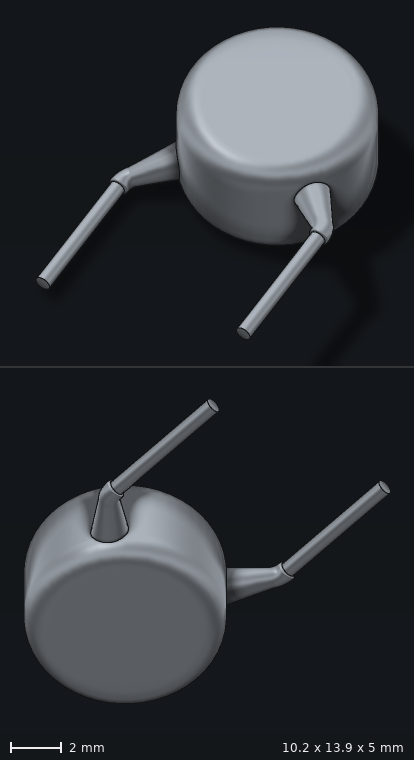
import cadquery as cq
import math

body_diameter = 8.0
body_height = 5.0
body_rim_fillet = 1.0

wire_diameter = 0.65
wire_offset_x = 4.67
wire_height = 0.74
wire_end_y = -9.92

sleeve_diameter = 0.85
sleeve_tip_y = -4.4
sleeve_tip_length = 0.1
sleeve_tip_fillet = 0.08
cone_length = 3.0
cone_half_angle = 9.5

bend_radius = 0.8
slope_rise = 0.38

slope = cq.Vector(1, 1, slope_rise).normalized()
straight = cq.Vector(0, 1, 0)
bend_angle = math.degrees(straight.getAngle(slope))

bend_start = cq.Vector(-wire_offset_x, sleeve_tip_y + sleeve_tip_length, wire_height)
bend_axis = straight.cross(slope).normalized()
bend_center = bend_start + bend_axis.cross(straight) * bend_radius
bend_end = bend_start + (straight + slope) * (bend_radius * math.tan(math.radians(bend_angle / 2)))


def straight_rod(diameter, start, direction, length):
    """Round rod from a start point along a direction."""
    return cq.Workplane(cq.Solid.makeCylinder(diameter / 2, length, start, direction))


def bent_rod(diameter):
    """Round rod that follows the bend from the straight wire to the slope."""
    section = cq.Plane(origin=bend_start, xDir=bend_center - bend_start, normal=straight)
    return (
        cq.Workplane(section)
        .circle(diameter / 2)
        .revolve(bend_angle, (bend_radius, 0), (bend_radius, 1))
    )


def make_wire():
    """Left wire: straight leg, bend and sloping leg inside the sleeve."""
    leg_start = cq.Vector(-wire_offset_x, wire_end_y, wire_height)
    leg = straight_rod(wire_diameter, leg_start, straight, bend_start.y - wire_end_y)
    inner_leg = straight_rod(wire_diameter, bend_end, slope, cone_length)
    return leg.union(bent_rod(wire_diameter)).union(inner_leg)


def make_sleeve():
    """Left sleeve: rounded tip, bend and a cone that widens into the disc."""
    tip_start = cq.Vector(-wire_offset_x, sleeve_tip_y, wire_height)
    tip = straight_rod(sleeve_diameter, tip_start, straight, sleeve_tip_length)
    tip = tip.faces("<Y").edges().fillet(sleeve_tip_fillet)
    small_radius = sleeve_diameter / 2
    large_radius = small_radius + cone_length * math.tan(math.radians(cone_half_angle))
    cone = cq.Solid.makeCone(small_radius, large_radius, cone_length, bend_end, slope)
    return tip.union(bent_rod(sleeve_diameter)).union(cq.Workplane(cone))


def to_lead_side(shape, turn):
    """Turn a left-hand shape about the Y-parallel axis through the disc centre."""
    mid_height = body_height / 2
    return shape.rotate((0, 0, mid_height), (0, 1, mid_height), turn)


lead_turns = (0, 180)
wires = [to_lead_side(make_wire(), turn) for turn in lead_turns]

coating = (
    cq.Workplane("XY")
    .circle(body_diameter / 2)
    .extrude(body_height)
    .edges()
    .fillet(body_rim_fillet)
)
for turn in lead_turns:
    coating = coating.union(to_lead_side(make_sleeve(), turn))
for wire in wires:
    coating = coating.cut(wire)

result = cq.Compound.makeCompound(
    [
        coating.solids().val(),
        *[wire.solids().val() for wire in wires],
    ]
)